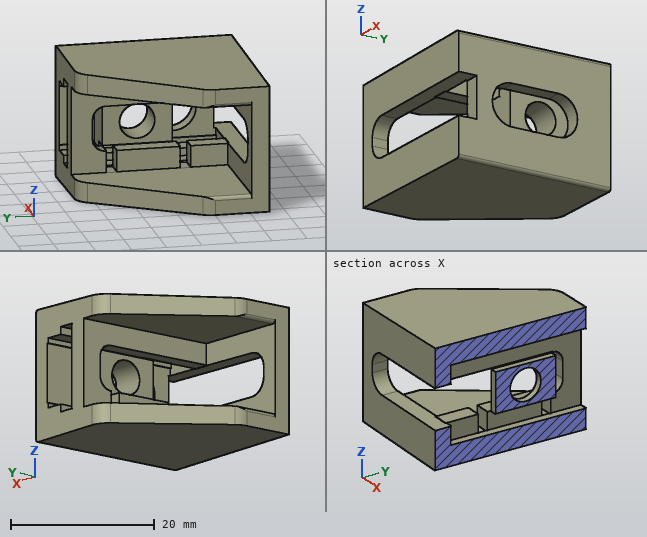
import cadquery as cq

length = 25.0
free_end_height = 18.2
thick_end_height = 19.0
end_fillet = 0.5
corner_cut_x = 11.32
corner_cut_y = 8.68
corner_radius = 3.0

front_wall = 2.55
front_wall_root = 2.7
cavity_height = 12.9
cavity_root_height = 12.7
mouth_radius = 0.5

inner_wall_start = 14.68
channel_start = 17.25
ledge_start = 19.6
lip_start = 22.3
plate_start = 22.5
channel_height = 12.2
ledge_gap = 10.0
lip_gap = 8.55

slot_start = 2.45
slot_height = 6.25
slot_end_height = 6.5
slot_radius = 2.5
slot_depth = 2.95
inner_slot_end = 22.0
inner_slot_radius = 1.92
plate_slot_length = 14.0
notch_starts = (8.0, 18.5)
notch_width = 1.5

nut_start = 17.45
nut_y_start = 10.0
nut_width = 10.0
nut_front_height = 6.5
nut_base_height = 9.9
nut_hole = 5.0


def box(x_range, y_range, z_range):
    """Box between the given pairs of limits."""
    sizes = [end - start for start, end in (x_range, y_range, z_range)]
    corner = (x_range[0], y_range[0], z_range[0])
    return cq.Workplane("XY").box(*sizes, centered=False).translate(corner)


def centred_box(x_range, y_range, height):
    """Box centred on Z = 0."""
    return box(x_range, y_range, (-height / 2, height / 2))


def tapered_bar(x_start, x_end, y_start, y_end, start_height, end_height):
    """Bar along X whose height changes evenly along its length."""
    return (
        cq.Workplane("XZ", origin=(0, y_start, 0))
        .polyline([
            (x_start, -start_height / 2),
            (x_end, -end_height / 2),
            (x_end, end_height / 2),
            (x_start, start_height / 2),
        ])
        .close()
        .extrude(y_start - y_end)
    )


def make_body():
    body = tapered_bar(0, length, 0, length, free_end_height, thick_end_height)
    body = body.faces(">X").edges("|Y").fillet(end_fillet)
    plan = (
        cq.Workplane("XY", origin=(0, 0, -thick_end_height / 2))
        .polyline([
            (0, 0), (length, 0), (length, length),
            (corner_cut_x, length), (0, corner_cut_y),
        ])
        .close()
        .extrude(thick_end_height)
    )
    for corner in ((0, corner_cut_y), (corner_cut_x, length)):
        nearest = cq.selectors.NearestToPointSelector((*corner, 0))
        plan = plan.edges("|Z").edges(nearest).fillet(corner_radius)
    return body.intersect(plan)


def make_cavity():
    """Drafted pocket with a rounded flare at its mouth."""
    side = cavity_height / 2
    root = cavity_root_height / 2
    profile = (
        cq.Workplane("XZ")
        .moveTo(0, -side - mouth_radius)
        .radiusArc((mouth_radius, -side), mouth_radius)
        .lineTo(inner_wall_start, -root)
        .lineTo(inner_wall_start, root)
        .lineTo(mouth_radius, side)
        .radiusArc((0, side + mouth_radius), mouth_radius)
        .close()
        .extrude(-length)
    )
    plan = (
        cq.Workplane("XY", origin=(0, 0, -length / 2))
        .polyline([
            (0, front_wall), (inner_wall_start, front_wall_root),
            (inner_wall_start, length), (0, length),
        ])
        .close()
        .extrude(length)
    )
    return profile.intersect(plan)


def make_channel():
    """Stepped nut channel, narrowing towards the end plate and open at +Y."""
    y_range = (front_wall_root, length)
    channel = centred_box((channel_start, ledge_start), y_range, channel_height)
    channel = channel.union(centred_box((ledge_start, lip_start), y_range, ledge_gap))
    return channel.union(centred_box((lip_start, plate_start), y_range, lip_gap))


def make_front_slot():
    slot = tapered_bar(slot_start, length, 0, slot_depth, slot_height, slot_end_height)
    return slot.faces("<X").edges("|Y").fillet(slot_radius)


def make_inner_wall_openings():
    x_range = (inner_wall_start, channel_start)
    opening = centred_box(x_range, (front_wall, inner_slot_end), slot_end_height)
    opening = opening.faces(">Y").edges("|X").fillet(inner_slot_radius)
    for start in notch_starts:
        notch = box(x_range, (start, start + notch_width), (-cavity_root_height / 2, 0))
        opening = opening.union(notch)
    return opening


def make_plate_slot():
    return (
        cq.Workplane("YZ", origin=(plate_start, length / 2, 0))
        .slot2D(plate_slot_length, slot_end_height)
        .extrude(length - plate_start)
    )


def make_nut():
    """Nut block stepping wider towards the end plate it joins."""
    y_range = (nut_y_start, nut_y_start + nut_width)
    nut = centred_box((nut_start, ledge_start), y_range, nut_front_height)
    nut = nut.union(centred_box((ledge_start, lip_start), y_range, lip_gap))
    nut = nut.union(centred_box((lip_start, plate_start), y_range, nut_base_height))
    hole = (
        cq.Workplane("YZ", origin=(nut_start, nut_y_start + nut_width / 2, 0))
        .circle(nut_hole / 2)
        .extrude(plate_start - nut_start)
    )
    return nut.cut(hole)


result = (
    make_body()
    .cut(make_cavity())
    .cut(make_channel())
    .cut(make_front_slot())
    .cut(make_inner_wall_openings())
    .cut(make_plate_slot())
    .union(make_nut())
)